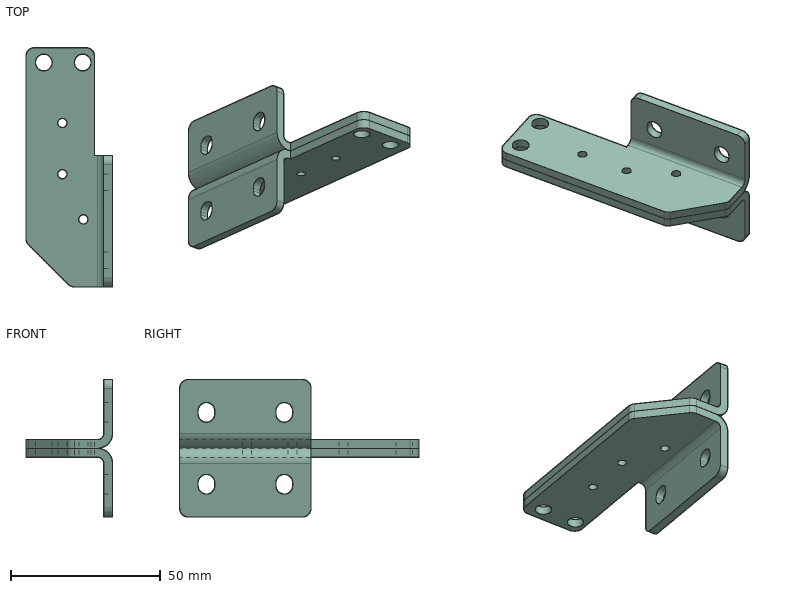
import cadquery as cq


thickness = 3.0
bend_inner_radius = 2.0
bend_outer_radius = bend_inner_radius + thickness
corner_radius = 3.0

overall_width = 29.0
arm_length = 80.0
arm_width = 23.0
chamfer_leg = 15.0

flange_length = 44.0
flange_height = 23.0

mount_hole_diameter = 5.5
mount_hole_centers = [(6.0, 75.0), (19.0, 75.0)]
small_hole_diameter = 3.0
small_hole_centers = [(12.2, 54.8), (12.2, 37.7), (19.2, 22.6)]

slot_width = 5.5
slot_length = 6.5
slot_z = 12.0
slot_y_positions = [9.0, 35.0]

bend_start_x = overall_width - bend_outer_radius
flange_inner_x = overall_width - thickness


def make_arm():
    """Flat arm with a chamfered front corner, ending where the bend begins."""
    arm = (
        cq.Workplane("XY")
        .moveTo(chamfer_leg, 0)
        .lineTo(bend_start_x, 0)
        .lineTo(bend_start_x, flange_length)
        .lineTo(arm_width, flange_length)
        .lineTo(arm_width, arm_length)
        .lineTo(0, arm_length)
        .lineTo(0, chamfer_leg)
        .close()
        .extrude(thickness)
    )
    arm = arm.edges("|Z and >Y").fillet(corner_radius)
    for x, y in [(chamfer_leg, 0), (0, chamfer_leg)]:
        nearest = cq.selectors.NearestToPointSelector((x, y, thickness / 2))
        arm = arm.edges(nearest).fillet(corner_radius)
    return arm


def make_flange():
    """Bend and upright flange, with the two top corners rounded."""
    bend_center_z = bend_outer_radius
    profile = (
        cq.Workplane("XZ")
        .moveTo(bend_start_x, 0)
        .radiusArc((overall_width, bend_center_z), -bend_outer_radius)
        .lineTo(overall_width, flange_height)
        .lineTo(flange_inner_x, flange_height)
        .lineTo(flange_inner_x, bend_center_z)
        .radiusArc((bend_start_x, thickness), bend_inner_radius)
        .close()
    )
    flange = profile.extrude(-flange_length)
    return flange.edges("|X and >Z").fillet(corner_radius)


def make_arm_holes():
    mount_holes = (
        cq.Workplane("XY")
        .pushPoints(mount_hole_centers)
        .circle(mount_hole_diameter / 2)
        .extrude(thickness)
    )
    small_holes = (
        cq.Workplane("XY")
        .pushPoints(small_hole_centers)
        .circle(small_hole_diameter / 2)
        .extrude(thickness)
    )
    return mount_holes.add(small_holes).combine()


def make_flange_slots():
    """Slots through the flange, slightly longer along Z than along Y."""
    return (
        cq.Workplane("YZ", origin=(flange_inner_x, 0, 0))
        .pushPoints([(y, slot_z) for y in slot_y_positions])
        .slot2D(slot_length, slot_width, angle=90)
        .extrude(thickness)
    )


def make_bracket():
    blank = make_arm().union(make_flange())
    return blank.cut(make_arm_holes()).cut(make_flange_slots()).solids()


upper_bracket = make_bracket()
lower_bracket = upper_bracket.mirror("XY")

result = cq.Compound.makeCompound([upper_bracket.val(), lower_bracket.val()])